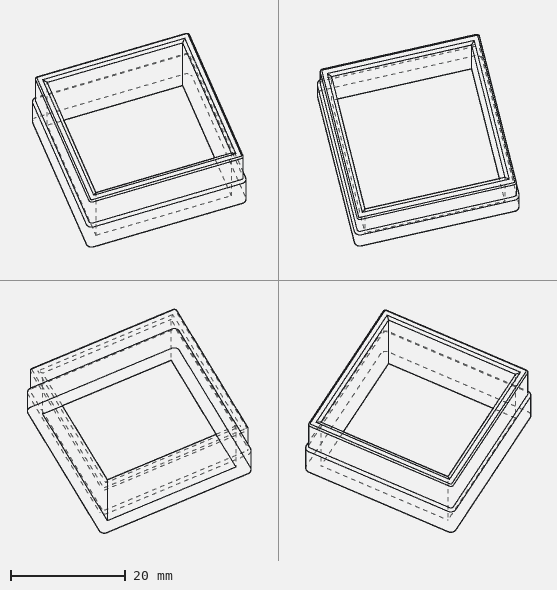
import cadquery as cq

base_side = 29.6
total_height = 13.1
corner_radius = 1.0

ledge_inset = 0.5
ledge_top_height = 6.5
collar_side = base_side - 2 * ledge_inset
collar_radius = corner_radius - ledge_inset

opening_side = 25.13
rim_outer_chamfer = 0.3
rim_inner_width = 0.62
rim_inner_depth = 0.3


def rounded_block(side, height, radius):
    """Square block standing on Z = 0 with rounded vertical edges."""
    block = cq.Workplane("XY").rect(side, side).extrude(height)
    return block.edges("|Z").fillet(radius)


base = rounded_block(base_side, ledge_top_height, corner_radius)
base = base.faces(">Z").edges().chamfer(ledge_inset)

collar = rounded_block(collar_side, total_height, collar_radius)
collar = collar.faces(">Z").edges().chamfer(rim_outer_chamfer)

opening = cq.Workplane("XY").rect(opening_side, opening_side).extrude(total_height)

lead_in = (
    cq.Workplane("XY")
    .workplane(offset=total_height - rim_inner_depth)
    .rect(opening_side, opening_side)
    .workplane(offset=rim_inner_depth)
    .rect(opening_side + 2 * rim_inner_width, opening_side + 2 * rim_inner_width)
    .loft(ruled=True)
)

result = base.union(collar).cut(opening).cut(lead_in)